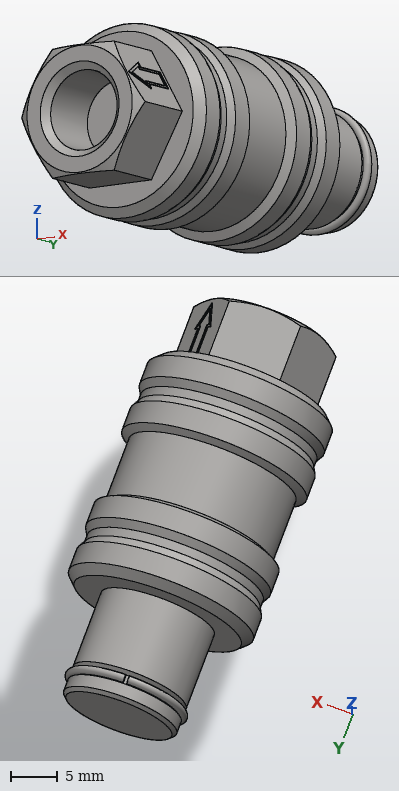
import cadquery as cq
import math

LENGTH = 46.0

HEX_LENGTH = 7.5
HEX_ACROSS_FLATS = 14.0
HEX_FACE_DIAMETER = 13.75
HEX_CHAMFER_ANGLE = 30.0
BORE_DIAMETER = 8.7
BORE_MOUTH_DIAMETER = 10.3
BORE_CHAMFER_LENGTH = 0.8
BORE_DEPTH = HEX_LENGTH

SLEEVE_LENGTH = 26.45
SLEEVE_DIAMETER = 21.0
WAIST_DIAMETER = 19.0
GROOVE_DIAMETER = 20.0
END_CHAMFER = (SLEEVE_DIAMETER - WAIST_DIAMETER) / 2
GROOVE_START = 3.5
GROOVE_FLOOR_LENGTH = 1.0
GROOVE_SLOPE_LENGTH = 0.9
COLLAR_LENGTH = 8.92
COLLAR_SLOPE_LENGTH = 0.55

SPIGOT_DIAMETER = 12.9
SPIGOT_CHAMFER = 0.4
SEAT_DIAMETER = 12.0
SEAT_FROM_END = 1.8
SEAT_FLOOR_LENGTH = 1.1

RING_WIRE_DIAMETER = 0.9
RING_GAP = 0.4

ARROW_FLAT_ANGLE = 30.0
ARROW_TIP = 0.55
ARROW_SHOULDER = 3.5
ARROW_TAIL = 7.05
ARROW_HALF_WIDTH = 1.75
SHAFT_HALF_WIDTH = 1.1
ARROW_LINE_WIDTH = 0.3
ARROW_DEPTH = 0.1


def revolve_about_y(profile):
    return profile.close().revolve(360, (0, 0, 0), (0, 1, 0))


def make_hexagon():
    """Hexagon with flats facing +Z and -Z and its outer corners turned off at Y = 0."""
    corner_diameter = HEX_ACROSS_FLATS / math.cos(math.radians(30))
    prism = cq.Workplane("XZ").polygon(6, corner_diameter).extrude(-HEX_LENGTH)
    face_radius = HEX_FACE_DIAMETER / 2
    corner_radius = corner_diameter / 2
    chamfer_length = (corner_radius - face_radius) * math.tan(math.radians(HEX_CHAMFER_ANGLE))
    turned_envelope = revolve_about_y(
        cq.Workplane("XY")
        .moveTo(0, 0)
        .lineTo(face_radius, 0)
        .lineTo(corner_radius, chamfer_length)
        .lineTo(corner_radius, HEX_LENGTH)
        .lineTo(0, HEX_LENGTH)
    )
    return prism.intersect(turned_envelope)


def make_sleeve():
    outer = SLEEVE_DIAMETER / 2
    waist = WAIST_DIAMETER / 2
    floor = GROOVE_DIAMETER / 2
    floor_start = GROOVE_START + GROOVE_SLOPE_LENGTH
    floor_end = floor_start + GROOVE_FLOOR_LENGTH
    collar = [
        (outer - END_CHAMFER, 0),
        (outer, END_CHAMFER),
        (outer, GROOVE_START),
        (floor, floor_start),
        (floor, floor_end),
        (outer, floor_end + GROOVE_SLOPE_LENGTH),
        (outer, COLLAR_LENGTH),
        (waist, COLLAR_LENGTH + COLLAR_SLOPE_LENGTH),
    ]
    near_side = [(radius, HEX_LENGTH + distance) for radius, distance in collar]
    sleeve_end = HEX_LENGTH + SLEEVE_LENGTH
    far_side = [(radius, sleeve_end - distance) for radius, distance in reversed(collar)]
    outline = [(0, HEX_LENGTH)] + near_side + far_side + [(0, sleeve_end)]
    return revolve_about_y(cq.Workplane("XY").polyline(outline))


def make_spigot():
    radius = SPIGOT_DIAMETER / 2
    seat_radius = SEAT_DIAMETER / 2
    seat_end = LENGTH - SEAT_FROM_END
    seat_start = seat_end - SEAT_FLOOR_LENGTH
    sleeve_end = HEX_LENGTH + SLEEVE_LENGTH
    return revolve_about_y(
        cq.Workplane("XY")
        .moveTo(0, sleeve_end)
        .lineTo(radius, sleeve_end)
        .lineTo(radius, seat_start - (radius - seat_radius))
        .lineTo(seat_radius, seat_start)
        .lineTo(seat_radius, seat_end)
        .lineTo(radius, seat_end)
        .lineTo(radius, LENGTH - SPIGOT_CHAMFER)
        .lineTo(radius - SPIGOT_CHAMFER, LENGTH)
        .lineTo(0, LENGTH)
    )


def make_bore():
    """Blind bore with a countersunk mouth."""
    bore_radius = BORE_DIAMETER / 2
    return revolve_about_y(
        cq.Workplane("XY")
        .moveTo(0, 0)
        .lineTo(BORE_MOUTH_DIAMETER / 2, 0)
        .lineTo(bore_radius, BORE_CHAMFER_LENGTH)
        .lineTo(bore_radius, BORE_DEPTH)
        .lineTo(0, BORE_DEPTH)
    )


def arrow_outline():
    """Arrow pointing to the hexagon's end face, drawn just below the +X, +Z flat."""
    angle = math.radians(ARROW_FLAT_ANGLE)
    normal = (math.cos(angle), 0, math.sin(angle))
    floor_distance = HEX_ACROSS_FLATS / 2 - ARROW_DEPTH
    floor_center = tuple(floor_distance * part for part in normal)
    floor_plane = cq.Plane(
        origin=floor_center,
        xDir=(math.sin(angle), 0, -math.cos(angle)),
        normal=normal,
    )
    return cq.Workplane(floor_plane).polyline([
        (0, ARROW_TIP),
        (ARROW_HALF_WIDTH, ARROW_SHOULDER),
        (SHAFT_HALF_WIDTH, ARROW_SHOULDER),
        (SHAFT_HALF_WIDTH, ARROW_TAIL),
        (-SHAFT_HALF_WIDTH, ARROW_TAIL),
        (-SHAFT_HALF_WIDTH, ARROW_SHOULDER),
        (-ARROW_HALF_WIDTH, ARROW_SHOULDER),
    ]).close()


def make_arrow_engraving():
    """Band that follows the inside of the arrow's outline, up to the flat."""
    arrow = arrow_outline().extrude(ARROW_DEPTH)
    island = arrow_outline().offset2D(-ARROW_LINE_WIDTH, "intersection").extrude(ARROW_DEPTH)
    return arrow.cut(island)


def make_coupling():
    body = make_hexagon().union(make_sleeve()).union(make_spigot())
    return body.cut(make_bore()).cut(make_arrow_engraving())


def make_snap_ring():
    """Wire ring resting on the seat floor, with its gap at the top (+Z)."""
    wire_radius = RING_WIRE_DIAMETER / 2
    center_radius = SEAT_DIAMETER / 2 + wire_radius
    center_y = LENGTH - SEAT_FROM_END - SEAT_FLOOR_LENGTH / 2
    ring = (
        cq.Workplane("XY")
        .center(center_radius, center_y)
        .circle(wire_radius)
        .revolve(360, (-center_radius, 0, 0), (-center_radius, 1, 0))
    )
    gap_height = center_radius + RING_WIRE_DIAMETER
    gap = (
        cq.Workplane("XY")
        .center(0, center_y)
        .rect(RING_GAP, 2 * RING_WIRE_DIAMETER)
        .extrude(gap_height)
    )
    return ring.cut(gap)


coupling = make_coupling()
snap_ring = make_snap_ring()
result = cq.Compound.makeCompound([coupling.solids().val(), snap_ring.solids().val()])